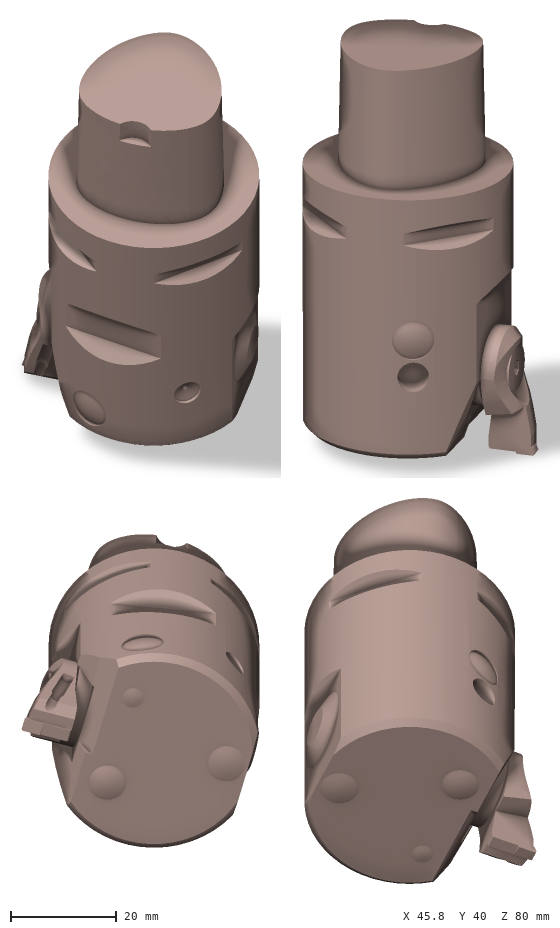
import cadquery as cq
import math

BODY_RADIUS = 20
BODY_LENGTH = 53.0
BODY_CHAMFER = 1.3
REACH = 24

SHANK_LENGTH = 24
SHANK_BASE_RADIUS = 14.0
SHANK_TOP_RADIUS = 13.5
LOBE_HEIGHT = 0.9
LOBE_HALF_ANGLE = 27
FACE_STEPS = 6
LOBE_CRESTS = (90, 210, 330)

KEY_NOTCH_DIAMETER = 7.5
KEY_NOTCH_DEPTH = 4.3
KEY_NOTCH_REACH = 10.9

GRIP_AZIMUTHS = (45, 135, 225, 315)
GRIP_DEPTH = 2.4
GRIP_TOP = -6.9
GRIP_BOTTOM = -9.2
GRIP_FLARE = 30

FLAT_DEPTH = 2.7
FLAT_TOP = -22.9
FLAT_FLARE = 45
WRENCH_FLAT_AZIMUTH = 260
WRENCH_FLAT_BOTTOM = -29.0
REAR_FLAT_DEPTH = 2.0
REAR_FLAT_TOP = -30.3

SEAT_X = FLAT_DEPTH - BODY_RADIUS
SLOPE_TOP = -39.0
SLOPE_FOOT_X = -12.5
STEEP_TOP = -47.4
STEEP_ANGLE = 30
STEEP_SIDE_Y = 3.4

HEAD_AXIS_Z = -39.0
BAR_RADIUS = 8
BAR_FACE_X = -16.9
POCKET_FLOOR_X = -13.9
REAR_CAP_X = 19.6
REAR_CAP_BASE_DIAMETER = 15.4
REAR_CAP_FACE_DIAMETER = 7.5

PLUG_DIAMETER = 8
PLUG_RIM_RADIUS = 19.4
FRONT_PLUG = (248, -46.2, 20.1)
BACK_PLUG = (112, -28.5, 20.4)
SIDE_HOLE_DIAMETER = 6.0
SIDE_HOLE_Z = -36
SIDE_HOLE_DEPTH = 4.8

NOZZLE_AZIMUTH = 305
NOZZLE_Z = -38.9
NOZZLE_HOLE_DIAMETER = 5.3
NOZZLE_DISH_DIAMETER = 5.0
NOZZLE_BORE_DIAMETER = 1.0
NOZZLE_RING_RADIUS = 19.4
NOZZLE_DISH_RADIUS = 18.6
NOZZLE_BORE_END_RADIUS = 16

BOTTOM_DOMES = ((-6.9, 8.2, 7.0, 0.8), (13.8, -1.6, 7.2, 0.6), (-6.9, -9.8, 4, 0.3))

HEAD_RADIUS = 7.8
HEAD_CHAMFER = 1.8
HEAD_FRONT_X = -21.9
BLADE_FRONT_X = -25.1
BLADE_LINE_Z = -51.9
FRONT_STATIONS = (
    (HEAD_FRONT_X, 16, -29.6),
    (-22.0, 16, -36.8),
    (-22.2, 16, -40.8),
    (-23.0, 14.4, -43.4),
    (-24, 12.8, -46.2),
    (-24.8, 12, -50.0),
    (BLADE_FRONT_X, 12, BLADE_LINE_Z),
)
BLADE_Y = 1.1
BLADE_BOTTOM = -55.2
BLADE_CORNER = (-5.1, -53.1)
BLADE_CORNER_END_Y = -3.4
LOBE_CORNER = (4.9, -47.4)
LOBE_BULGE = (6.4, -44.5)
LOBE_FRONT_RISE = 1.6
BACK_TAPER_TOP = -47.4
BACK_TAPER_BOTTOM = -53.0
BLADE_BACK_X = -16.6

TOOTH_BACK_Y = -1.2
TOOTH_BOTTOM = -56
TOOTH_RELIEF = 0.4

CHANNEL_START = (-18.7, -6.6, -43.1)
CHANNEL_END = (-21.9, -4.6, -55.2)
CHANNEL_STEP_DISTANCE = 7.2
CHANNEL_STEP_LENGTH = 1.0
CHANNEL_DIAMETER = 2.5
CHANNEL_END_DIAMETER = 1.9

SCREW_HEAD_DIAMETER = 9.2
SCREW_SHANK_DIAMETER = 5.0
SCREW_FACE_X = -21.8
SCREW_HEAD_BOTTOM_X = -19.2
SCREW_END_X = -9.6
SCREW_SOCKET_DIAMETER = 3.2
SCREW_SOCKET_DEPTH = 1.6
RELIEF_START_X = -21.1
RELIEF_RUN = 4.8
RELIEF_DROP = 4.5


def xz_prism(points, y_start, y_end):
    """Prism with a profile of (x, z) points between two Y values."""
    return cq.Workplane("XZ", origin=(0, y_start, 0)).polyline(points).close().extrude(y_start - y_end)


def x_rod(diameter, x_start, x_end):
    """Round rod along X on the axis of the cutting head."""
    plane = cq.Workplane("YZ", origin=(x_start, 0, HEAD_AXIS_Z))
    return plane.circle(diameter / 2).extrude(x_end - x_start)


def side_notch(azimuth, depth, top, bottom, flare):
    """Straight notch across the side of the housing, with flanks that open outward."""
    outer = BODY_RADIUS + 0.8
    floor = BODY_RADIUS - depth
    spread = (outer - floor) * math.tan(math.radians(flare))
    profile = [(floor, top), (floor, bottom), (outer, bottom - spread), (outer, top + spread)]
    return xz_prism(profile, -REACH, REACH).rotate((0, 0, 0), (0, 0, 1), azimuth)


def radial_turning(profile, azimuth, z):
    """Solid of revolution about a radial axis; the profile holds (axial, radial) points."""
    turned = cq.Workplane("XY").polyline(profile).close().revolve(360, (0, 0, 0), (1, 0, 0))
    return turned.rotate((0, 0, 0), (0, 0, 1), azimuth).translate((0, 0, z))


def spherical_cap(base_diameter, height):
    """Dome that rises along +X from a base circle in the YZ plane."""
    half = base_diameter / 2
    sphere_radius = (half**2 + height**2) / (2 * height)
    middle = sphere_radius * math.sin(math.asin(half / sphere_radius) / 2)
    middle_height = height - sphere_radius + math.sqrt(sphere_radius**2 - middle**2)
    outline = cq.Workplane("XY").lineTo(height, 0).threePointArc((middle_height, middle), (0, half)).close()
    return outline.revolve(360, (0, 0, 0), (1, 0, 0))


def lobed_point(radius, crest, angle):
    """Point of a curve of constant width, at an angle from the crest of one lobe."""
    normal = math.radians(crest + angle)
    support = radius + LOBE_HEIGHT * math.cos(3 * math.radians(angle))
    slope = -3 * LOBE_HEIGHT * math.sin(3 * math.radians(angle))
    x = support * math.cos(normal) - slope * math.sin(normal)
    y = support * math.sin(normal) + slope * math.cos(normal)
    return x, y


def lobed_wire(radius, z):
    """Closed three-lobed outline: a lobe face and a flank face for each crest."""
    start_point = lobed_point(radius, LOBE_CRESTS[0], -LOBE_HALF_ANGLE)
    outline = cq.Workplane("XY", origin=(0, 0, z)).moveTo(*start_point)
    for crest in LOBE_CRESTS:
        for start, end in ((-LOBE_HALF_ANGLE, LOBE_HALF_ANGLE), (LOBE_HALF_ANGLE, 120 - LOBE_HALF_ANGLE)):
            angles = [start + (end - start) * i / FACE_STEPS for i in range(1, FACE_STEPS + 1)]
            outline = outline.spline([lobed_point(radius, crest, a) for a in angles], includeCurrent=True)
    return outline.close().val()


def make_shank():
    wires = [lobed_wire(SHANK_BASE_RADIUS, 0), lobed_wire(SHANK_TOP_RADIUS, SHANK_LENGTH)]
    shank = cq.Workplane(cq.Solid.makeLoft(wires, True))
    notch_center_y = -KEY_NOTCH_REACH - KEY_NOTCH_DIAMETER / 2
    notch = cq.Workplane("XY", origin=(0, notch_center_y, SHANK_LENGTH)).circle(KEY_NOTCH_DIAMETER / 2)
    return shank.cut(notch.extrude(-KEY_NOTCH_DEPTH))


def cut_seat(body):
    """Flat seat with its sloped underside, and the steeper cut beside and behind the blade."""
    outer = -BODY_RADIUS - 0.8
    low = -BODY_LENGTH
    profile = [(outer, FLAT_TOP + SEAT_X - outer), (SEAT_X, FLAT_TOP), (SEAT_X, SLOPE_TOP)]
    profile += [(SLOPE_FOOT_X, low), (outer, low)]
    body = body.cut(xz_prism(profile, -REACH, REACH))
    slope_rate = (SLOPE_FOOT_X - SEAT_X) / (SLOPE_TOP - low)
    steep_x = SEAT_X + slope_rate * (SLOPE_TOP - STEEP_TOP)
    steep_foot_x = steep_x + (STEEP_TOP - low) * math.tan(math.radians(STEEP_ANGLE))
    steep = [(outer, STEEP_TOP), (steep_x, STEEP_TOP), (steep_foot_x, low), (outer, low)]
    return body.cut(xz_prism(steep, -REACH, STEEP_SIDE_Y))


def add_bar_ends(body):
    """Round bar end in its pocket below the seat, and the tapered cap at the other end."""
    pocket = [(SEAT_X - 0.8, HEAD_AXIS_Z), (POCKET_FLOOR_X, HEAD_AXIS_Z)]
    pocket += [(POCKET_FLOOR_X, -BODY_LENGTH), (SEAT_X - 0.8, -BODY_LENGTH)]
    body = body.cut(xz_prism(pocket, -BAR_RADIUS, BAR_RADIUS))
    body = body.union(x_rod(2 * BAR_RADIUS, POCKET_FLOOR_X + 0.8, BAR_FACE_X))
    rear_x = BODY_RADIUS - REAR_FLAT_DEPTH
    base = REAR_CAP_BASE_DIAMETER / 2
    cap_profile = [(rear_x - 0.8, 0), (rear_x - 0.8, base), (rear_x, base)]
    cap_profile += [(REAR_CAP_X, REAR_CAP_FACE_DIAMETER / 2), (REAR_CAP_X, 0)]
    return body.union(radial_turning(cap_profile, 0, HEAD_AXIS_Z))


def add_plug(body, azimuth, z, crown_radius):
    """Domed plug whose rim lies just below the side of the housing."""
    half = PLUG_DIAMETER / 2
    outer = BODY_RADIUS + 0.8
    recess = [(PLUG_RIM_RADIUS, 0), (PLUG_RIM_RADIUS, half), (outer, half), (outer, 0)]
    dome = spherical_cap(PLUG_DIAMETER, crown_radius - PLUG_RIM_RADIUS).translate((PLUG_RIM_RADIUS, 0, 0))
    dome = dome.rotate((0, 0, 0), (0, 0, 1), azimuth).translate((0, 0, z))
    return body.cut(radial_turning(recess, azimuth, z)).union(dome)


def cut_nozzle(body):
    """Shallow round recess with a conical dish and a fine bore."""
    outer = BODY_RADIUS + 0.8
    profile = [
        (outer, 0),
        (outer, NOZZLE_HOLE_DIAMETER / 2),
        (NOZZLE_RING_RADIUS, NOZZLE_HOLE_DIAMETER / 2),
        (NOZZLE_RING_RADIUS, NOZZLE_DISH_DIAMETER / 2),
        (NOZZLE_DISH_RADIUS, NOZZLE_BORE_DIAMETER / 2),
        (NOZZLE_BORE_END_RADIUS, NOZZLE_BORE_DIAMETER / 2),
        (NOZZLE_BORE_END_RADIUS, 0),
    ]
    return body.cut(radial_turning(profile, NOZZLE_AZIMUTH, NOZZLE_Z))


def cut_side_hole(body):
    floor = BODY_RADIUS - SIDE_HOLE_DEPTH
    outer = BODY_RADIUS + 0.8
    half = SIDE_HOLE_DIAMETER / 2
    profile = [(floor, 0), (floor, half), (outer, half), (outer, 0)]
    return body.cut(radial_turning(profile, BACK_PLUG[0], SIDE_HOLE_Z))


def make_housing():
    body = cq.Workplane("XY").circle(BODY_RADIUS).extrude(-BODY_LENGTH).faces("<Z").chamfer(BODY_CHAMFER)
    for azimuth in GRIP_AZIMUTHS:
        body = body.cut(side_notch(azimuth, GRIP_DEPTH, GRIP_TOP, GRIP_BOTTOM, GRIP_FLARE))
    body = body.cut(side_notch(WRENCH_FLAT_AZIMUTH, FLAT_DEPTH, FLAT_TOP, WRENCH_FLAT_BOTTOM, FLAT_FLARE))
    body = body.cut(side_notch(0, REAR_FLAT_DEPTH, REAR_FLAT_TOP, -BODY_LENGTH, FLAT_FLARE))
    body = cut_seat(body)
    body = add_bar_ends(body)
    for plug in (FRONT_PLUG, BACK_PLUG):
        body = add_plug(body, *plug)
    body = cut_nozzle(body)
    body = cut_side_hole(body)
    for x, y, diameter, height in BOTTOM_DOMES:
        dome = spherical_cap(diameter, height).rotate((0, 0, 0), (0, 1, 0), 90)
        body = body.union(dome.translate((x, y, -BODY_LENGTH)))
    body = body.cut(x_rod(SCREW_SHANK_DIAMETER, SCREW_END_X, SEAT_X - 0.8))
    return body.union(make_shank())


def blade_tangent_point():
    """Point where the edge from the blade corner touches the round of the head, as (y, z)."""
    dy = BLADE_CORNER[0]
    dz = BLADE_CORNER[1] - HEAD_AXIS_Z
    angle = math.atan2(dz, dy) - math.acos(HEAD_RADIUS / math.hypot(dy, dz))
    return HEAD_RADIUS * math.cos(angle), HEAD_AXIS_Z + HEAD_RADIUS * math.sin(angle)


def head_blank():
    """Round head with a lobe and a long blade below it."""
    outline = (
        cq.Workplane("YZ", origin=(BLADE_BACK_X, 0, 0))
        .moveTo(HEAD_RADIUS, HEAD_AXIS_Z)
        .threePointArc((0, HEAD_AXIS_Z + HEAD_RADIUS), blade_tangent_point())
        .lineTo(*BLADE_CORNER)
        .lineTo(BLADE_CORNER_END_Y, BLADE_BOTTOM)
        .lineTo(BLADE_Y, BLADE_BOTTOM)
        .lineTo(BLADE_Y, LOBE_CORNER[1])
        .lineTo(*LOBE_CORNER)
        .threePointArc(LOBE_BULGE, (HEAD_RADIUS, HEAD_AXIS_Z))
        .close()
    )
    return outline.extrude(BLADE_FRONT_X - 0.8 - BLADE_BACK_X)


def level_circle(front_x, radius, z):
    """Horizontal circle whose foremost point lies at the given x."""
    return cq.Wire.makeCircle(radius, cq.Vector(front_x + radius, 0, z), cq.Vector(0, 0, 1))


def head_envelope():
    """Rounded front: nearly upright over the head, leaning outward along the blade."""
    leaning = cq.Workplane(cq.Solid.makeLoft([level_circle(*station) for station in FRONT_STATIONS]))
    upright = cq.Workplane(level_circle(*FRONT_STATIONS[-1])).toPending()
    return leaning.union(upright.extrude(BLADE_BOTTOM - 0.8 - BLADE_LINE_Z))


def chamfer_upper_rim(head):
    """Conical bevel around the upper half of the head's front."""
    inner = HEAD_RADIUS - HEAD_CHAMFER
    bevel_x = HEAD_FRONT_X + HEAD_CHAMFER
    profile = [(bevel_x, HEAD_RADIUS), (HEAD_FRONT_X - 0.8, inner - 0.8), (HEAD_FRONT_X - 0.8, HEAD_RADIUS + 0.8)]
    profile += [(bevel_x, HEAD_RADIUS + 0.8)]
    ring = cq.Workplane("XY").polyline(profile).close().revolve(180, (0, 0, 0), (1, 0, 0))
    return head.cut(ring.translate((0, 0, HEAD_AXIS_Z)))


def cut_head_back(head):
    """Back face: on the seat, then tapering rearward along the blade."""
    top = HEAD_AXIS_Z + HEAD_RADIUS + 0.8
    rear = BLADE_BACK_X + 0.8
    profile = [(SEAT_X, top), (SEAT_X, BACK_TAPER_TOP), (BLADE_BACK_X, BACK_TAPER_BOTTOM)]
    profile += [(rear, BACK_TAPER_BOTTOM), (rear, top)]
    return head.cut(xz_prism(profile, -REACH, REACH))


def cut_lobe_underside(head):
    low = LOBE_CORNER[1]
    profile = [(SEAT_X, low), (BLADE_FRONT_X, low + LOBE_FRONT_RISE), (BLADE_FRONT_X, low)]
    return head.cut(xz_prism(profile, BLADE_Y, REACH))


def cut_counterbore(head):
    """Screw hole, and a counterbore that leans downward where the front leans outward."""
    head = head.cut(x_rod(SCREW_SHANK_DIAMETER, SEAT_X + 0.8, SCREW_FACE_X))
    head = head.cut(x_rod(SCREW_HEAD_DIAMETER, SCREW_HEAD_BOTTOM_X, BLADE_FRONT_X - 0.8))
    along = cq.Vector(1, 0, 0)
    start = cq.Vector(RELIEF_START_X, 0, HEAD_AXIS_Z)
    end = start + cq.Vector(-RELIEF_RUN, 0, -RELIEF_DROP)
    rims = [cq.Wire.makeCircle(SCREW_HEAD_DIAMETER / 2, center, along) for center in (start, end)]
    return head.cut(cq.Workplane(cq.Solid.makeLoft(rims, True)))


def cut_channel(head):
    """Stepped coolant channel, open along the side of the blade."""
    start = cq.Vector(*CHANNEL_START)
    run = cq.Vector(*CHANNEL_END) - start
    wide = CHANNEL_DIAMETER / 2
    narrow = CHANNEL_END_DIAMETER / 2
    step_end = CHANNEL_STEP_DISTANCE + CHANNEL_STEP_LENGTH
    profile = [(0, 0), (0, wide), (CHANNEL_STEP_DISTANCE, wide), (step_end, narrow)]
    profile += [(run.Length, narrow), (run.Length, 0)]
    plane = cq.Plane(origin=start, xDir=run, normal=run.cross(cq.Vector(0, 1, 0)))
    channel = cq.Workplane(plane).polyline(profile).close().revolve(360, (0, 0, 0), (1, 0, 0))
    return head.cut(channel)


def make_tooth():
    """Cutting tooth under the blade, with a relief behind its cutting side."""
    profile = [
        (BLADE_FRONT_X, -54.3),
        (-25.4, -54.6),
        (-25.8, -55.4),
        (-25.5, TOOTH_BOTTOM),
        (-22.2, TOOTH_BOTTOM),
        (-22.0, -55.6),
        (-16.8, -55.6),
        (BLADE_BACK_X, BLADE_BOTTOM),
        (-23.2, -54.3),
    ]
    tooth = xz_prism(profile, TOOTH_BACK_Y, BLADE_Y)
    relief = [(BLADE_Y, TOOTH_BOTTOM), (TOOTH_BACK_Y, TOOTH_BOTTOM + TOOTH_RELIEF)]
    relief += [(TOOTH_BACK_Y, TOOTH_BOTTOM)]
    cutter = cq.Workplane("YZ").polyline(relief).close().extrude(-2 * REACH)
    return tooth.cut(cutter)


def make_cutting_head():
    head = head_blank().intersect(head_envelope())
    head = chamfer_upper_rim(head)
    head = cut_head_back(head)
    head = cut_lobe_underside(head)
    head = cut_counterbore(head)
    head = cut_channel(head)
    return head.union(make_tooth())


def make_screw():
    screw = x_rod(SCREW_HEAD_DIAMETER, SCREW_HEAD_BOTTOM_X, SCREW_FACE_X)
    screw = screw.union(x_rod(SCREW_SHANK_DIAMETER, SCREW_END_X, SCREW_HEAD_BOTTOM_X))
    socket = cq.Workplane("YZ", origin=(SCREW_FACE_X, 0, HEAD_AXIS_Z)).transformed(rotate=(0, 0, 90))
    return screw.cut(socket.polygon(6, SCREW_SOCKET_DIAMETER).extrude(SCREW_SOCKET_DEPTH))


housing = make_housing()
cutting_head = make_cutting_head()
screw = make_screw()

result = cq.Compound.makeCompound([housing.val(), cutting_head.val(), screw.val()])